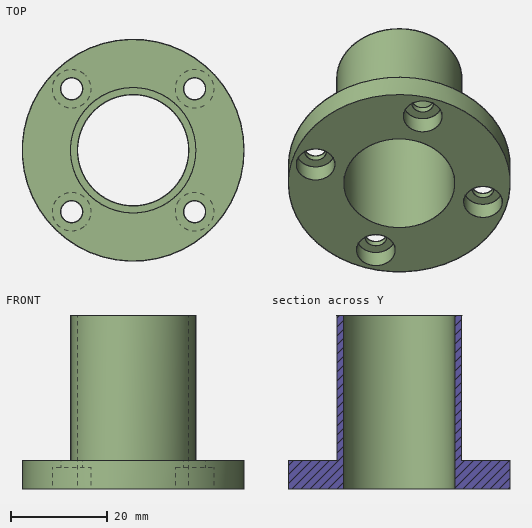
import cadquery as cq

flange_diameter = 46.0
flange_thickness = 6.0

total_height = 36.0
tube_diameter = 26.0
bore_diameter = 23.0

bolt_count = 4
bolt_hole_diameter = 4.5
counterbore_diameter = 8.0
counterbore_depth = 4.5
bolt_circle_diameter = 36.0
first_bolt_angle = 45.0


def cylinder(diameter, height):
    """Upright cylinder on the part axis, standing on the base plane."""
    return cq.Workplane("XY").circle(diameter / 2).extrude(height)


def bolt_circle_cylinders(diameter, height):
    """One upright cylinder at each bolt position, standing on the base plane."""
    return (
        cq.Workplane("XY")
        .polarArray(bolt_circle_diameter / 2, first_bolt_angle, 360, bolt_count)
        .circle(diameter / 2)
        .extrude(height)
    )


flange = cylinder(flange_diameter, flange_thickness)
tube = cylinder(tube_diameter, total_height)
bore = cylinder(bore_diameter, total_height)
bolt_holes = bolt_circle_cylinders(bolt_hole_diameter, flange_thickness)
counterbores = bolt_circle_cylinders(counterbore_diameter, counterbore_depth)

result = flange.union(tube).cut(bore).cut(bolt_holes).cut(counterbores)